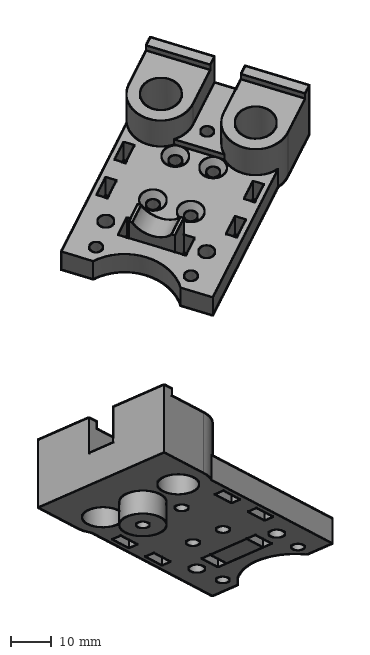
import cadquery as cq


total_length = 62.4
plate_width = 40.0
plate_thickness = 7.05
front_notch_width = 23.1
front_notch_depth = 5.9

tower_spacing = 25.05
tower_width = 17.0
tower_height = 17.05
tower_radius = tower_width / 2
bore_y = -14.4
bore_diameter = 10.3
lip_length = 2.9
lip_top = 19.05

bridge_length = 20.55
bridge_height = 9.05
peg_y = -15.25
peg_diameter = 11.6
peg_length = 6.4
peg_hole_diameter = 3.4

screw_spacing = 10.0
screw_rows_y = (-23.9, -38.95)
screw_diameter = 3.45
countersink_diameter = 6.8
countersink_angle = 90

side_slot_width = 2.9
side_slot_length = 6.1
side_slot_edge_margin = 1.5
side_slot_x = plate_width / 2 - side_slot_edge_margin - side_slot_width / 2
side_slots_y = (-27.35, -39.4)

large_hole_x = 13.3
large_hole_y = -49.45
large_hole_diameter = 4.1
small_hole_x = tower_spacing / 2
small_hole_y = -58.0
small_hole_diameter = 3.4

saddle_y = -49.4
saddle_length = 6.0
saddle_width = 12.2
saddle_top = 13.5
saddle_slot_width = 17.9
groove_width = 10.35
groove_depth = 2.9


def cylinder(x, y, diameter, bottom, top):
    return cq.Workplane().workplane(offset=bottom).center(x, y).circle(diameter / 2).extrude(top - bottom)


def block(x, y, width, length, height):
    """Box centred at (x, y) that stands on Z = 0."""
    return cq.Workplane().center(x, y).rect(width, length).extrude(height)


def make_plate():
    half_width = plate_width / 2
    half_notch = front_notch_width / 2
    return (
        cq.Workplane()
        .moveTo(-half_width, 0)
        .lineTo(-half_width, -total_length)
        .lineTo(-half_notch, -total_length)
        .threePointArc((0, front_notch_depth - total_length), (half_notch, -total_length))
        .lineTo(half_width, -total_length)
        .lineTo(half_width, 0)
        .close()
        .extrude(plate_thickness)
    )


def make_tower(x):
    body = (
        cq.Workplane()
        .moveTo(x - tower_radius, 0)
        .lineTo(x - tower_radius, bore_y)
        .threePointArc((x, bore_y - tower_radius), (x + tower_radius, bore_y))
        .lineTo(x + tower_radius, 0)
        .close()
        .extrude(tower_height)
    )
    lip = block(x, -lip_length / 2, tower_width, lip_length, lip_top)
    return body.union(lip)


def make_housing():
    housing = make_plate()

    bridge = block(0, -bridge_length / 2, tower_spacing, bridge_length, bridge_height)
    housing = housing.union(bridge).union(cylinder(0, peg_y, peg_diameter, -peg_length, 0))
    housing = housing.cut(cylinder(0, peg_y, peg_hole_diameter, -peg_length, bridge_height))

    for side in (-1, 1):
        x = side * tower_spacing / 2
        housing = housing.union(make_tower(x))
        housing = housing.cut(cylinder(x, bore_y, bore_diameter, 0, tower_height))

    screw_points = [(side * screw_spacing / 2, y) for side in (-1, 1) for y in screw_rows_y]
    housing = (
        housing.copyWorkplane(cq.Workplane(origin=(0, 0, plate_thickness)))
        .pushPoints(screw_points)
        .cskHole(screw_diameter, countersink_diameter, countersink_angle, depth=plate_thickness)
    )

    for side in (-1, 1):
        for y in side_slots_y:
            slot = block(side * side_slot_x, y, side_slot_width, side_slot_length, plate_thickness)
            housing = housing.cut(slot)
        large_hole = cylinder(side * large_hole_x, large_hole_y, large_hole_diameter, 0, plate_thickness)
        small_hole = cylinder(side * small_hole_x, small_hole_y, small_hole_diameter, 0, plate_thickness)
        housing = housing.cut(large_hole).cut(small_hole)

    return housing.cut(block(0, saddle_y, saddle_slot_width, saddle_length, plate_thickness))


def make_saddle():
    """Block set into the slot, with a round groove along Y in its top."""
    half_width = saddle_width / 2
    half_groove = groove_width / 2
    return (
        cq.Workplane("XZ", origin=(0, saddle_y + saddle_length / 2, 0))
        .moveTo(-half_width, 0)
        .lineTo(-half_width, saddle_top)
        .lineTo(-half_groove, saddle_top)
        .threePointArc((0, saddle_top - groove_depth), (half_groove, saddle_top))
        .lineTo(half_width, saddle_top)
        .lineTo(half_width, 0)
        .close()
        .extrude(saddle_length)
    )


housing = make_housing()
saddle = make_saddle()
result = cq.Compound.makeCompound([housing.val(), saddle.val()])